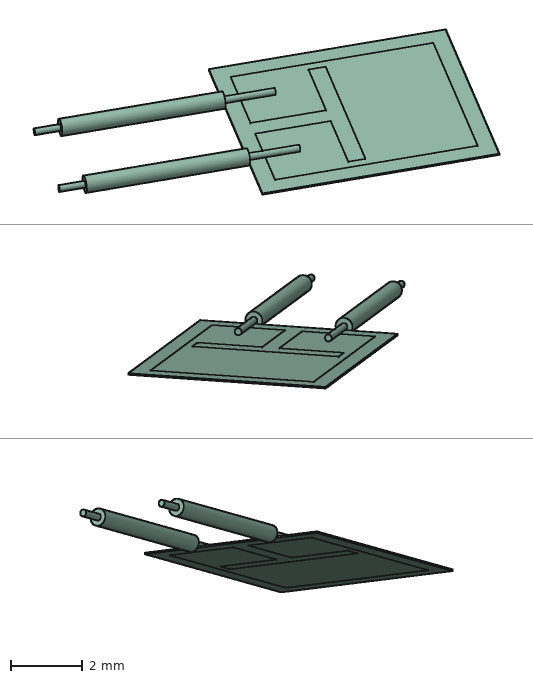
import cadquery as cq

film_width = 5.8
film_length = 6.9
film_thickness = 0.05

border = 0.5
foil_width = film_width - 2 * border
foil_length = film_length - 2 * border
gap = 0.5
gap_bar_length = 4.3
gap_bar_front = 2.7

wire_diameter = 0.2
sleeve_diameter = 0.5
wire_contact_length = 1.5
sleeve_length = 4.75
wire_tail_length = 0.75
wire_length = wire_contact_length + sleeve_length + wire_tail_length
wire_height = wire_diameter / 2
lead_pitch = (foil_width + gap) / 2


def flat_block(width, front, back):
    """Block as thick as the film, centred on X, from Y = front to Y = back."""
    return (
        cq.Workplane("XY")
        .box(width, back - front, film_thickness, centered=(True, False, False))
        .translate((0, front, -film_thickness))
    )


def make_foil():
    """Rectangular foil split at the front by the stem and bar of the T gap."""
    outline = flat_block(foil_width, border, border + foil_length)
    stem = flat_block(gap, border, gap_bar_front)
    bar = flat_block(gap_bar_length, gap_bar_front, gap_bar_front + gap)
    return outline.cut(stem.union(bar)).solids()


def make_film(foil):
    """Film with an opening that matches the foil."""
    return flat_block(film_width, 0, film_length).cut(foil).solids()


def rod(diameter, x, back, length):
    """Round rod along Y at wire height, running forward from Y = back."""
    return (
        cq.Workplane("XZ", origin=(x, back, wire_height))
        .circle(diameter / 2)
        .extrude(length)
    )


def make_wire(x):
    return rod(wire_diameter, x, wire_contact_length, wire_length)


def make_sleeve(x):
    """Insulating tube that starts at the front edge of the film."""
    outside = rod(sleeve_diameter, x, 0, sleeve_length)
    return outside.cut(rod(wire_diameter, x, 0, sleeve_length))


foil = make_foil()
film = make_film(foil)
bodies = [film.val(), foil.val()]
for lead_x in (-lead_pitch / 2, lead_pitch / 2):
    bodies.append(make_wire(lead_x).val())
    bodies.append(make_sleeve(lead_x).val())

result = cq.Compound.makeCompound(bodies)